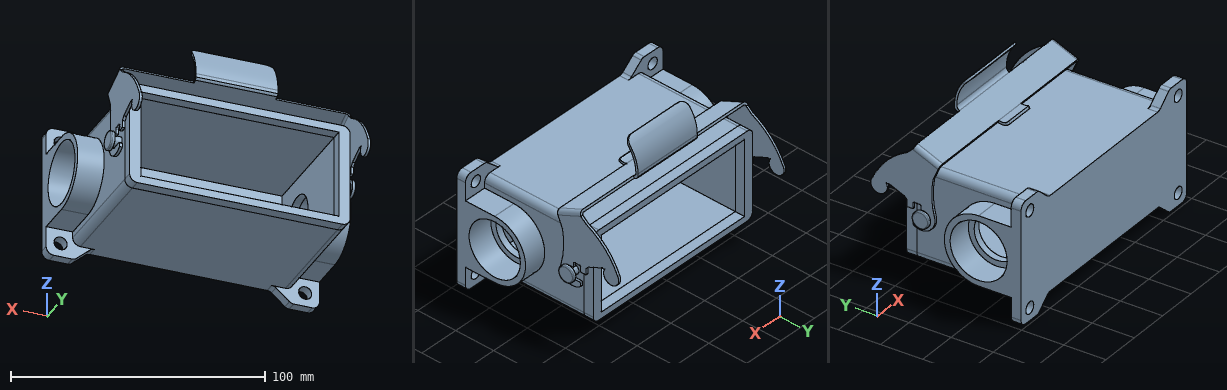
import cadquery as cq
import math

plate_length = 117.0
plate_height = 56.9
plate_thickness = 4.7
plate_corner_radius = 3.3
notch_floor_length = 77.9
notch_mouth_length = 92.7
notch_blend_radius = 2.8
screw_hole_diameter = 5.5
screw_pitch_x = 104.6
screw_pitch_z = 44.8

box_length = 94.3
box_height = 44.2
box_depth = 57.1
box_corner_radius = 3.3
side_wall = 3.3
end_wall = 4.8
floor_thickness = plate_thickness

entry_center_y = 20.1
entry_outer_radius = 16.3
entry_bore_diameter = 27.0
entry_hole_diameter = 21.5
entry_bore_depth = 12.9

pin_y = 52.1
pin_diameter = 4.7
pin_head_diameter = 8.0
pin_head_inner_x = 50.8
pin_head_outer_x = 52.3
pin_head_round = 0.5

frame_thickness = 4.9
frame_end = box_depth + frame_thickness

sheet = 1.2
lever_half_width = 49.5
bend_radius = 2.1
bar_tilt = math.radians(23.5)
bar_length = 13.2
bar_rear = (44.6, 26.3)
cheek_rear_length = 8.2
cheek_foot_center_y = 53.2
cheek_lip_y = 57.3
cheek_foot_radius = 6.3
slot_radius = 2.75
slot_notch_height = 5.4
slot_notch_y = 53.6
slot_round = 0.6
cheek_rear_middle = (48.4, 10.5)
cheek_rear_end = (47.0, 1.4)
tail_y = 60.3
tail_top = 5.4
tail_shoulder = (61.5, 6.8)
tail_bottom = 2.3
hook_center = (73.5, 7.8)
hook_radius = 4.0
hook_neck_z = 9.8
hook_throat_y = 68.6
hook_back_middle = (69.1, 21.0)
hook_back_end = (60.1, 27.3)

front_tab_width = 35.1
front_tab_radius = 18.6
front_tab_sweep = math.radians(50.7)
front_tab_y = 59.2
front_tab_arc_z = 33.7
front_tab_corner_radius = 4.0
front_tab_heel = (58.9, 31.5)
rear_tab_width = 15.7
rear_tab_corner_radius = 1.0
rear_tab_top_middle = (42.8, 26.0)
rear_tab_top_end = (40.6, 26.8)
rear_tab_bottom_end = (40.0, 25.7)
rear_tab_bottom_middle = (42.7, 24.8)


def on_bar(along, depth):
    """(Y, Z) of a point at a distance along the tilted bar and a depth below its outer face."""
    y = bar_rear[0] + along * math.cos(bar_tilt) + depth * math.sin(bar_tilt)
    z = bar_rear[1] + along * math.sin(bar_tilt) - depth * math.cos(bar_tilt)
    return (y, z)


def rounded_box(length, height, radius, start_y, end_y):
    """Block along Y with the four edges that run along Y rounded."""
    block = cq.Workplane("XY").box(length, end_y - start_y, height)
    return block.translate((0, (start_y + end_y) / 2, 0)).edges("|Y").fillet(radius)


def cavity(start_y, end_y):
    return cq.Workplane("XY").box(
        box_length - 2 * end_wall, end_y - start_y, box_height - 2 * side_wall
    ).translate((0, (start_y + end_y) / 2, 0))


def x_cylinder(radius, y, start_x, end_x):
    """Cylinder along X with its axis at the given Y and at Z = 0."""
    disc = cq.Workplane("YZ").workplane(offset=start_x).center(y, 0).circle(radius)
    return disc.extrude(end_x - start_x)


def mirrored_pair(shape):
    return shape.union(shape.mirror("YZ"))


def make_plate():
    plate = rounded_box(plate_length, plate_height, plate_corner_radius, 0, plate_thickness)
    for side in (1, -1):
        notch = (
            cq.Workplane("XZ")
            .moveTo(-notch_floor_length / 2, side * box_height / 2)
            .lineTo(notch_floor_length / 2, side * box_height / 2)
            .lineTo(notch_mouth_length / 2, side * plate_height / 2)
            .lineTo(-notch_mouth_length / 2, side * plate_height / 2)
            .close()
            .extrude(-plate_thickness)
        )
        plate = plate.cut(notch)
    for corner_x in (notch_floor_length / 2, notch_mouth_length / 2):
        for side in (1, -1):
            corners = cq.selectors.BoxSelector(
                (side * corner_x - notch_blend_radius, 0, -plate_height),
                (side * corner_x + notch_blend_radius, plate_thickness, plate_height),
            )
            plate = plate.edges("|Y").edges(corners).fillet(notch_blend_radius)
    screw_holes = (
        cq.Workplane("XZ")
        .rect(screw_pitch_x, screw_pitch_z, forConstruction=True)
        .vertices()
        .circle(screw_hole_diameter / 2)
        .extrude(-plate_thickness)
    )
    return plate.cut(screw_holes)


def make_entry_boss():
    """Cable entry on the +X end: a round lug that runs straight into the plate."""
    inner_x = box_length / 2 - end_wall
    outer_x = plate_length / 2
    boss = x_cylinder(entry_outer_radius, entry_center_y, inner_x, outer_x)
    web = cq.Workplane("XY").box(
        outer_x - inner_x, entry_center_y, 2 * entry_outer_radius
    ).translate(((inner_x + outer_x) / 2, entry_center_y / 2, 0))
    return boss.union(web)


def make_entry_hole():
    outer_x = plate_length / 2
    hole = x_cylinder(entry_hole_diameter / 2, entry_center_y, 0, outer_x)
    bore = x_cylinder(entry_bore_diameter / 2, entry_center_y, outer_x - entry_bore_depth, outer_x)
    return hole.union(bore)


def make_pin():
    shank = x_cylinder(pin_diameter / 2, pin_y, box_length / 2 - end_wall / 2, pin_head_inner_x)
    head = x_cylinder(pin_head_diameter / 2, pin_y, pin_head_inner_x, pin_head_outer_x)
    return shank.union(head.faces(">X").edges().fillet(pin_head_round))


def make_housing():
    body = rounded_box(box_length, box_height, box_corner_radius, 0, box_depth)
    body = body.union(make_plate()).union(mirrored_pair(make_entry_boss()))
    body = body.cut(cavity(floor_thickness, box_depth))
    body = body.cut(mirrored_pair(make_entry_hole()))
    return body.union(mirrored_pair(make_pin()))


def make_frame():
    ring = rounded_box(box_length, box_height, box_corner_radius, box_depth, frame_end)
    return ring.cut(cavity(box_depth, frame_end))


def make_bar():
    """Crossbar with a rounded bend along each end, run along the tilted direction."""
    plane = cq.Plane(
        origin=(0, *bar_rear), xDir=(1, 0, 0), normal=(0, math.cos(bar_tilt), math.sin(bar_tilt))
    )

    def bent_section(half_width, top, radius):
        corner = radius * (1 - math.sqrt(0.5))
        return (
            cq.Workplane(plane)
            .moveTo(-half_width, bend_radius)
            .threePointArc((-half_width + corner, top + corner), (-half_width + radius, top))
            .lineTo(half_width - radius, top)
            .threePointArc((half_width - corner, top + corner), (half_width, bend_radius))
            .close()
            .extrude(bar_length)
        )

    outer = bent_section(lever_half_width, 0, bend_radius)
    return outer.cut(bent_section(lever_half_width - sheet, sheet, bend_radius - sheet))


def slot_cutter(rear_y, bottom, top):
    """Rectangular cut through the +X cheek, open at the slot mouth."""
    return (
        cq.Workplane("YZ")
        .workplane(offset=lever_half_width - sheet)
        .moveTo(rear_y, bottom)
        .lineTo(cheek_lip_y, bottom)
        .lineTo(cheek_lip_y, top)
        .lineTo(rear_y, top)
        .close()
        .extrude(sheet)
    )


def make_cheek():
    """Cheek on the +X side: hook at the front, open slot around the pivot pin at the foot."""
    neck = math.sqrt(hook_radius**2 - (hook_neck_z - hook_center[1]) ** 2)
    lip_drop = math.sqrt(cheek_foot_radius**2 - (cheek_lip_y - cheek_foot_center_y) ** 2)
    outline = (
        cq.Workplane("YZ")
        .workplane(offset=lever_half_width - sheet)
        .moveTo(*on_bar(bar_length, bend_radius))
        .lineTo(*on_bar(0, bend_radius))
        .lineTo(*on_bar(0, cheek_rear_length))
        .threePointArc(cheek_rear_middle, cheek_rear_end)
        .threePointArc((cheek_foot_center_y, -cheek_foot_radius), (cheek_lip_y, -lip_drop))
        .lineTo(cheek_lip_y, tail_bottom)
        .lineTo(tail_y, tail_bottom)
        .lineTo(tail_y, tail_top)
        .lineTo(*tail_shoulder)
        .lineTo(hook_throat_y, hook_neck_z)
        .lineTo(hook_center[0] - neck, hook_neck_z)
        .threePointArc((hook_center[0], hook_center[1] - hook_radius), (hook_center[0] + neck, hook_neck_z))
        .threePointArc(hook_back_middle, hook_back_end)
        .close()
        .extrude(sheet)
    )
    slot = x_cylinder(slot_radius, pin_y, lever_half_width - sheet, lever_half_width)
    channel = slot_cutter(pin_y, -slot_radius, slot_radius)
    notch = slot_cutter(slot_notch_y, 0, slot_notch_height)
    notch = notch.edges("|X and >Z").fillet(slot_round)
    cheek = outline.cut(slot).cut(channel).cut(notch)
    lip_corner = cq.selectors.NearestToPointSelector((lever_half_width - sheet / 2, cheek_lip_y, -slot_radius))
    return cheek.edges("|X").edges(lip_corner).fillet(slot_round)


def make_front_tab():
    """Curved finger tab that rises from the front edge of the bar."""
    center_y = front_tab_y - front_tab_radius

    def on_arc(radius, angle):
        return (center_y + radius * math.cos(angle), front_tab_arc_z + radius * math.sin(angle))

    inner_radius = front_tab_radius - sheet
    inner_y = front_tab_y - sheet
    corner_along = bar_length + (inner_y - on_bar(bar_length, 0)[0]) / math.cos(bar_tilt)
    bend_tangent = corner_along - bar_length
    bend_turn = math.pi / 2 - bar_tilt
    inner_bend = bend_tangent / math.tan(bend_turn / 2)
    bend_center = on_bar(bar_length, -inner_bend)
    bend_middle = (
        bend_center[0] + inner_bend * math.cos(bend_turn / 2),
        bend_center[1] - inner_bend * math.sin(bend_turn / 2),
    )
    bend_end = (inner_y, bend_center[1])
    tab = (
        cq.Workplane("YZ")
        .moveTo(*on_bar(bar_length, 0))
        .threePointArc(bend_middle, bend_end)
        .lineTo(inner_y, front_tab_arc_z)
        .threePointArc(on_arc(inner_radius, front_tab_sweep / 2), on_arc(inner_radius, front_tab_sweep))
        .lineTo(*on_arc(front_tab_radius, front_tab_sweep))
        .threePointArc(on_arc(front_tab_radius, front_tab_sweep / 2), (front_tab_y, front_tab_arc_z))
        .lineTo(front_tab_y, on_bar(corner_along, 0)[1])
        .threePointArc(front_tab_heel, on_bar(corner_along, sheet))
        .lineTo(*on_bar(bar_length, sheet))
        .close()
        .extrude(front_tab_width / 2, both=True)
    )
    return tab.faces(">Z").edges("not |X").fillet(front_tab_corner_radius)


def make_rear_tab():
    """Short lip that curls up from the rear edge of the bar."""
    tab = (
        cq.Workplane("YZ")
        .moveTo(*on_bar(0, 0))
        .threePointArc(rear_tab_top_middle, rear_tab_top_end)
        .lineTo(*rear_tab_bottom_end)
        .threePointArc(rear_tab_bottom_middle, on_bar(0, sheet))
        .close()
        .extrude(rear_tab_width / 2, both=True)
    )
    return tab.faces("<Y").edges("not |X").fillet(rear_tab_corner_radius)


def make_lever():
    lever = make_bar().union(mirrored_pair(make_cheek()))
    return lever.union(make_front_tab()).union(make_rear_tab())


housing = make_housing()
frame = make_frame()
lever = make_lever()

result = cq.Compound.makeCompound([housing.val(), frame.val(), lever.val()])